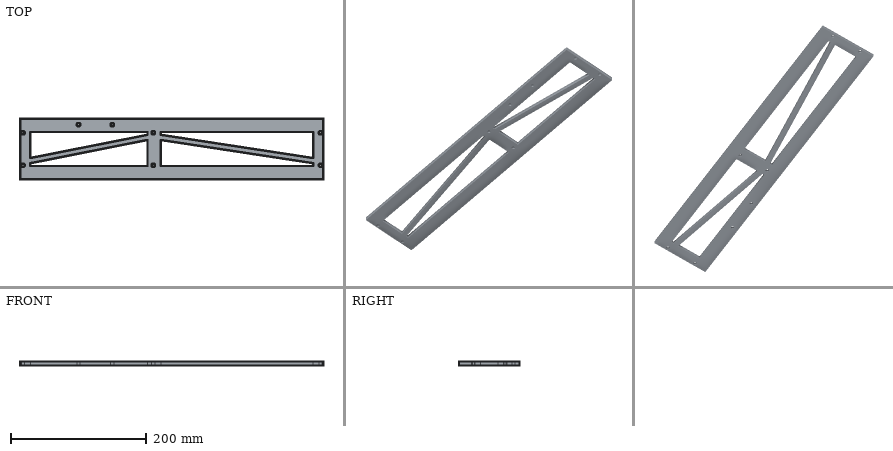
import cadquery as cq

LENGTH = 448.0
WIDTH = 90.0
THICKNESS = 6.0

END_MARGIN = 15.0
RAIL_WIDTH = 20.0
POST_WIDTH = 20.0
POST_CENTER_X = -26.0

BRACE_HEIGHT = 8.0
BRACE_END_Y = 17.15

HOLE_DIAMETER = 4.8
END_HOLE_INSET = 4.0
MIDDLE_HOLE_X = -27.2
FRAME_HOLE_Y = 24.0
RAIL_HOLE_INSET = 9.0
RAIL_HOLE_START = 86.2
RAIL_HOLE_SPACING = 50.0

window_top = WIDTH / 2 - RAIL_WIDTH
bay_outer_x = LENGTH / 2 - END_MARGIN


def make_plate():
    return cq.Workplane("XY").box(LENGTH, WIDTH, THICKNESS, centered=(True, True, False))


def cut_braced_bay(plate, outer_x, post_x):
    """Cut the openings above and below a brace rising from the plate end to the post."""
    for side in (1, -1):
        edge_y = side * window_top
        offset = side * BRACE_HEIGHT / 2
        outline = [
            (outer_x, edge_y),
            (post_x, edge_y),
            (post_x, BRACE_END_Y + offset),
            (outer_x, -BRACE_END_Y + offset),
        ]
        opening = cq.Workplane("XY").polyline(outline).close().extrude(THICKNESS)
        plate = plate.cut(opening)
    return plate


def drill_holes(plate):
    end_hole_x = LENGTH / 2 - END_HOLE_INSET
    frame_holes = [
        (x, y)
        for x in (-end_hole_x, MIDDLE_HOLE_X, end_hole_x)
        for y in (-FRAME_HOLE_Y, FRAME_HOLE_Y)
    ]
    rail_hole_x = -LENGTH / 2 + RAIL_HOLE_START
    rail_hole_y = WIDTH / 2 - RAIL_HOLE_INSET
    rail_holes = [
        (rail_hole_x, rail_hole_y),
        (rail_hole_x + RAIL_HOLE_SPACING, rail_hole_y),
    ]
    top_face = plate.faces(">Z").workplane(origin=(0, 0, 0))
    return top_face.pushPoints(frame_holes + rail_holes).hole(HOLE_DIAMETER)


result = make_plate()
result = cut_braced_bay(result, -bay_outer_x, POST_CENTER_X - POST_WIDTH / 2)
result = cut_braced_bay(result, bay_outer_x, POST_CENTER_X + POST_WIDTH / 2)
result = drill_holes(result)